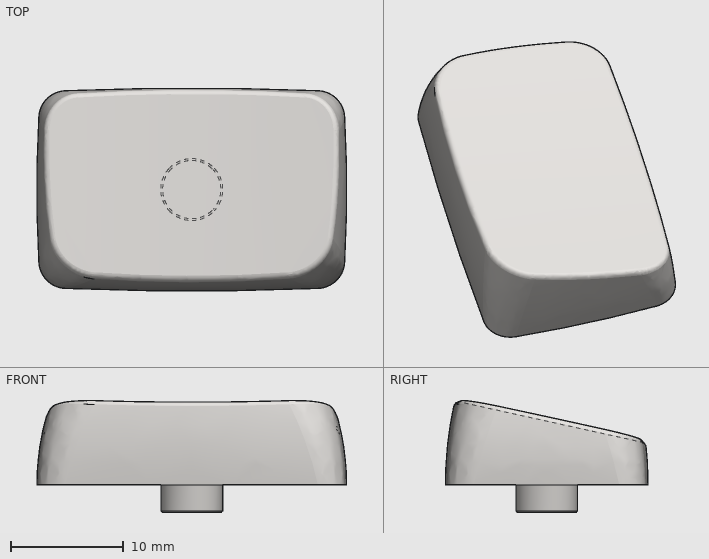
import cadquery as cq

LENGTH = 27.47
WIDTH = 18.0
LOFT_HEIGHT = 8.8
SIDE_LEAN = 1.79
END_LEAN = 1.2
BASE_CORNER = 2.47
CORNER_GROWTH = 1.92
BASE_BOW = 0.33
BOW_GROWTH = 0.27

TOP_HEIGHT = 5.63
TOP_TILT = 12.5
DISH_RADIUS = 192.3
TOP_FILLET = 0.5

STEM_DIAMETER = 5.5
STEM_LENGTH = 2.47
STEM_CHAMFER = 0.16


def body_section(height):
    """Rounded rectangle with bowed sides, shrinking with the square of the height."""
    rise = height / LOFT_HEIGHT
    half_x = LENGTH / 2 - SIDE_LEAN * rise**2
    half_y = WIDTH / 2 - END_LEAN * rise**2
    bow = BASE_BOW + BOW_GROWTH * rise
    corner_x = half_x - bow
    corner_y = half_y - bow
    outline = (
        cq.Workplane("XY", origin=(0, 0, height))
        .moveTo(-corner_x, -corner_y)
        .threePointArc((0, -half_y), (corner_x, -corner_y))
        .threePointArc((half_x, 0), (corner_x, corner_y))
        .threePointArc((0, half_y), (-corner_x, corner_y))
        .threePointArc((-half_x, 0), (-corner_x, -corner_y))
        .close()
        .val()
    )
    return outline.fillet2D(BASE_CORNER + CORNER_GROWTH * rise, outline.Vertices())


def make_body():
    sections = [body_section(LOFT_HEIGHT * step) for step in (0, 0.5, 1)]
    return cq.Workplane(cq.Solid.makeLoft(sections))


def make_dish_cutter():
    """Large cylinder lying along Y, tilted so that its underside slopes toward +Y."""
    return (
        cq.Workplane("XZ")
        .center(0, DISH_RADIUS)
        .circle(DISH_RADIUS)
        .extrude(WIDTH, both=True)
        .rotate((0, 0, 0), (1, 0, 0), -TOP_TILT)
        .translate((0, 0, TOP_HEIGHT))
    )


def make_stem():
    return (
        cq.Workplane("XY")
        .circle(STEM_DIAMETER / 2)
        .extrude(-STEM_LENGTH)
        .faces("<Z")
        .chamfer(STEM_CHAMFER)
    )


cap = make_body().cut(make_dish_cutter())
cap = cap.faces(cq.selectors.NearestToPointSelector((0, 0, TOP_HEIGHT))).edges().fillet(TOP_FILLET)
result = cap.union(make_stem())